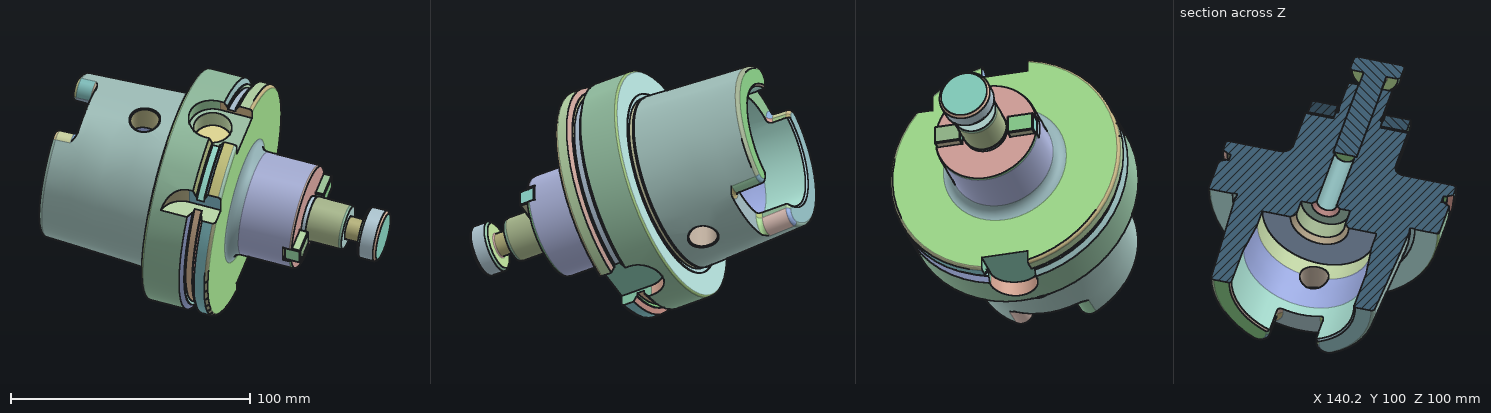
import cadquery as cq
import math


FLANGE_FACE_X = 50.0
FLANGE_WIDTH = 29.0
FLANGE_END_X = FLANGE_FACE_X + FLANGE_WIDTH
FLANGE_RADIUS = 50.0
FLANGE_FRONT_FILLET = 0.8
FLANGE_END_FILLET = 1.3
TAPER_END_RADIUS = 35.5
TAPER_SLOPE = 0.05
TAPER_RIM_FILLET = 1.5

UNDERCUT_WIDTH = 2.1
UNDERCUT_DEPTH = 0.3
UNDERCUT_RAMP = 0.8
UNDERCUT_FACE_RADIUS = 39.5

GROOVE_X = FLANGE_FACE_X + 20.0
GROOVE_MOUTH_WIDTH = 6.6
GROOVE_FLANK_DEPTH = 2.4
GROOVE_DEPTH = 3.9
GROOVE_FLANK_ANGLE = 30
GROOVE_FLOOR_WIDTH = 3.2

BORE_RADIUS = 53.0 / 2
BORE_MOUTH_CHAMFER = 0.8
BORE_CYLINDER_END_X = 19.6
BORE_CONE_END_X = 35
BORE_FLOOR_X = 43.5
BORE_FLOOR_RADIUS = 24.7
POCKET_DIAMETER = 21
POCKET_DEPTH = 9.8
POCKET_CHAMFER = 2.1
COOLANT_DIAMETER = 8.4
COOLANT_CHAMFER = 1.8

SLOT_WIDTH = 20.0
TOP_END_SLOT_DEPTH = 9.8
BOTTOM_END_SLOT_DEPTH = 14.6
END_SLOT_LIP_RADIUS = 4.9
END_SLOT_FLOOR_FILLET = 2.0

CROSS_HOLE_X = 35.2
CROSS_HOLE_DIAMETER = 12.0
CROSS_HOLE_CHAMFER = 0.49

DRIVE_SLOT_X = 65.0
DRIVE_SLOT_FLOOR_Z = 43.5
CHIP_HOLE_DIAMETER = 16.0
CHIP_HOLE_DEPTH = 8.4
NOTCH_WALL_Y = -31.4
NOTCH_FLOOR_Z = 31.0

BOSS_END_X = 107.0
BOSS_RADIUS = 22.3
BOSS_BASE_FILLET = 4.5
BOSS_LEAD_LENGTH = 1.0
PILOT_START_X = 108.9
PILOT_END_X = 124.7
PILOT_RADIUS = 19.0 / 2
PILOT_RELIEF_RADIUS = 18.5 / 2
PILOT_LEAD_LENGTH = 1.3
LEAD_DROP = 0.3

KEY_WIDTH = 8.0
KEY_BACK_X = 103.7
KEY_END_X = 110.7
KEY_INNER_Y = 10.2
KEY_OUTER_Y = 21.5
KEY_CHAMFER = 0.4
KEYWAY_BACK_X = 103.2
KEY_SIDES = (-1, 1)

SCREW_TIP_X = 84.1
SHANK_DIAMETER = 10.0
HEAD_DIAMETER = 22.0
HEAD_START_X = 131.9
HEAD_END_X = 140.2
HEAD_CHAMFER = 1.05
SHANK_FILLET = 0.5

TOLERANCE = 0.01


def taper_radius(x):
    return TAPER_END_RADIUS + TAPER_SLOPE * x


def revolve_about_x(profile):
    return profile.close().revolve(360, (0, 0, 0), (1, 0, 0))


def rod(diameter, start_x, end_x):
    """Cylinder on the X axis."""
    return cq.Workplane("YZ", origin=(start_x, 0, 0)).circle(diameter / 2).extrude(end_x - start_x)


def slab(x_range, y_range, z_range):
    """Box between the given pairs of limits."""
    sizes = [high - low for low, high in (x_range, y_range, z_range)]
    corner = (x_range[0], y_range[0], z_range[0])
    return cq.Workplane("XY").box(*sizes, centered=False).translate(corner)


def make_taper_cone():
    """Cone with a shallow undercut at the flange."""
    undercut_x = FLANGE_FACE_X - UNDERCUT_WIDTH
    neck_radius = taper_radius(undercut_x) - UNDERCUT_DEPTH
    neck_end_x = FLANGE_FACE_X + UNDERCUT_DEPTH
    profile = (
        cq.Workplane("XY")
        .lineTo(0, TAPER_END_RADIUS)
        .lineTo(undercut_x, taper_radius(undercut_x))
        .lineTo(undercut_x + UNDERCUT_RAMP, neck_radius)
        .lineTo(neck_end_x, neck_radius)
        .lineTo(neck_end_x, 0)
    )
    return revolve_about_x(profile)


def make_bore_cutter():
    """Stepped inside of the taper, with the coolant hole behind it."""
    pocket_radius = POCKET_DIAMETER / 2
    coolant_radius = COOLANT_DIAMETER / 2
    pocket_floor_x = BORE_FLOOR_X + POCKET_DEPTH
    profile = (
        cq.Workplane("XY")
        .lineTo(0, BORE_RADIUS + BORE_MOUTH_CHAMFER)
        .lineTo(BORE_MOUTH_CHAMFER, BORE_RADIUS)
        .lineTo(BORE_CYLINDER_END_X, BORE_RADIUS)
        .lineTo(BORE_CONE_END_X, BORE_FLOOR_RADIUS)
        .lineTo(BORE_FLOOR_X, BORE_FLOOR_RADIUS)
        .lineTo(BORE_FLOOR_X, pocket_radius + POCKET_CHAMFER)
        .lineTo(BORE_FLOOR_X + POCKET_CHAMFER, pocket_radius)
        .lineTo(pocket_floor_x, pocket_radius)
        .lineTo(pocket_floor_x, coolant_radius + COOLANT_CHAMFER)
        .lineTo(pocket_floor_x + COOLANT_CHAMFER, coolant_radius)
        .lineTo(SCREW_TIP_X, coolant_radius)
        .lineTo(SCREW_TIP_X, 0)
    )
    return revolve_about_x(profile)


def axis_distance(point):
    return math.hypot(point.y, point.z)


def is_on_slot_wall(edge):
    return abs(abs(edge.Center().y) - SLOT_WIDTH / 2) < TOLERANCE


def lies_at(edge, x):
    box = edge.BoundingBox()
    return abs(box.xmin - x) < TOLERANCE and abs(box.xmax - x) < TOLERANCE


def cut_end_slots(taper):
    """Two slots of unequal depth, with rounded lips, floors and rims."""
    half = SLOT_WIDTH / 2
    depths = (TOP_END_SLOT_DEPTH, BOTTOM_END_SLOT_DEPTH)
    taper = taper.cut(slab((0, TOP_END_SLOT_DEPTH), (-half, half), (0, FLANGE_RADIUS)))
    taper = taper.cut(slab((0, BOTTOM_END_SLOT_DEPTH), (-half, half), (-FLANGE_RADIUS, 0)))

    lips = [
        edge
        for edge in taper.edges().vals()
        if is_on_slot_wall(edge) and abs(edge.Center().z) > BORE_RADIUS and not edge.BoundingBox().xlen < 1.4
    ]
    taper = taper.newObject(lips).fillet(END_SLOT_LIP_RADIUS)

    floor_sides = [
        edge
        for edge in taper.edges().vals()
        if any(lies_at(edge, depth) for depth in depths)
        and half - TOLERANCE < abs(edge.Center().y) < half + END_SLOT_LIP_RADIUS
        and axis_distance(edge.Center()) < TAPER_END_RADIUS - 1.4
    ]
    taper = taper.newObject(floor_sides).fillet(END_SLOT_FLOOR_FILLET)

    rim = [
        edge
        for edge in taper.edges("<X").vals()
        if edge.geomType() != "CIRCLE" or edge.radius() > BORE_RADIUS + TOLERANCE
    ]
    return taper.newObject(rim).fillet(TAPER_RIM_FILLET)


def cut_cross_hole(taper):
    """Hole through both walls, with its outer edges eased."""
    hole = cq.Workplane("XY").circle(CROSS_HOLE_DIAMETER / 2).extrude(FLANGE_RADIUS, both=True)
    taper = taper.cut(hole.translate((CROSS_HOLE_X, 0, 0)))
    mouths = [
        edge
        for edge in taper.edges().vals()
        if abs(edge.Center().x - CROSS_HOLE_X) < CROSS_HOLE_DIAMETER / 4
        and abs(edge.Center().z) > BORE_RADIUS + 5.6
    ]
    return taper.newObject(mouths).chamfer(CROSS_HOLE_CHAMFER)


def make_flange_disc():
    """Plain disc with rounded rims and the face recess of the taper's undercut."""
    disc = rod(2 * FLANGE_RADIUS, FLANGE_FACE_X, FLANGE_END_X)
    disc = disc.edges("<X").fillet(FLANGE_FRONT_FILLET)
    disc = disc.edges(">X").fillet(FLANGE_END_FILLET)
    return disc.cut(rod(2 * UNDERCUT_FACE_RADIUS, FLANGE_FACE_X, FLANGE_FACE_X + UNDERCUT_DEPTH))


def cut_corner_notch(disc):
    """L-shaped notch at the -Y, +Z corner, closed at one end by the cutter's round."""
    radius = SLOT_WIDTH / 2
    height = FLANGE_RADIUS - NOTCH_FLOOR_Z
    centre_y = NOTCH_WALL_Y - radius
    cutter = slab(
        (DRIVE_SLOT_X, FLANGE_END_X), (centre_y - radius, NOTCH_WALL_Y), (NOTCH_FLOOR_Z, FLANGE_RADIUS)
    )
    end = cq.Workplane("XY", origin=(DRIVE_SLOT_X, centre_y, NOTCH_FLOOR_Z)).circle(radius).extrude(height)
    return disc.cut(cutter.union(end))


def cut_drive_slots(disc):
    """Round-ended slots on opposite sides, the upper one with a chip hole in its floor."""
    radius = SLOT_WIDTH / 2
    slot = slab(
        (DRIVE_SLOT_X, FLANGE_END_X), (-radius, radius), (DRIVE_SLOT_FLOOR_Z, FLANGE_RADIUS)
    )
    floor = cq.Workplane("XY", origin=(DRIVE_SLOT_X, 0, DRIVE_SLOT_FLOOR_Z))
    slot = slot.union(floor.circle(radius).extrude(FLANGE_RADIUS - DRIVE_SLOT_FLOOR_Z))
    chip_hole = floor.circle(CHIP_HOLE_DIAMETER / 2).extrude(-CHIP_HOLE_DEPTH)
    return disc.cut(slot).cut(slot.rotate((0, 0, 0), (1, 0, 0), 180)).cut(chip_hole)


def make_groove_cutter():
    """Ring with the V-shaped section of the groove."""
    half_mouth = GROOVE_MOUTH_WIDTH / 2
    half_root = half_mouth - GROOVE_FLANK_DEPTH * math.tan(math.radians(GROOVE_FLANK_ANGLE))
    half_floor = GROOVE_FLOOR_WIDTH / 2
    root_radius = FLANGE_RADIUS - GROOVE_FLANK_DEPTH
    floor_radius = FLANGE_RADIUS - GROOVE_DEPTH
    profile = (
        cq.Workplane("XY")
        .moveTo(GROOVE_X - half_mouth, FLANGE_RADIUS)
        .lineTo(GROOVE_X - half_root, root_radius)
        .lineTo(GROOVE_X - half_floor, root_radius)
        .lineTo(GROOVE_X - half_floor, floor_radius)
        .lineTo(GROOVE_X + half_floor, floor_radius)
        .lineTo(GROOVE_X + half_floor, root_radius)
        .lineTo(GROOVE_X + half_root, root_radius)
        .lineTo(GROOVE_X + half_mouth, FLANGE_RADIUS)
    )
    return revolve_about_x(profile)


def make_boss_and_pilot():
    """Boss with a round at its base, and the pilot in front of it."""
    fillet_end_x = FLANGE_END_X + BOSS_BASE_FILLET
    fillet_middle = (
        fillet_end_x - BOSS_BASE_FILLET * math.sqrt(0.5),
        BOSS_RADIUS + BOSS_BASE_FILLET * (1 - math.sqrt(0.5)),
    )
    profile = (
        cq.Workplane("XY")
        .moveTo(FLANGE_END_X, 0)
        .lineTo(FLANGE_END_X, BOSS_RADIUS + BOSS_BASE_FILLET)
        .threePointArc(fillet_middle, (fillet_end_x, BOSS_RADIUS))
        .lineTo(BOSS_END_X - BOSS_LEAD_LENGTH, BOSS_RADIUS)
        .lineTo(BOSS_END_X, BOSS_RADIUS - LEAD_DROP)
        .lineTo(BOSS_END_X, PILOT_RELIEF_RADIUS)
        .lineTo(PILOT_START_X, PILOT_RELIEF_RADIUS)
        .lineTo(PILOT_START_X, PILOT_RADIUS)
        .lineTo(PILOT_END_X - PILOT_LEAD_LENGTH, PILOT_RADIUS)
        .lineTo(PILOT_END_X, PILOT_RADIUS - LEAD_DROP)
        .lineTo(PILOT_END_X, 0)
    )
    return revolve_about_x(profile)


def make_keyway_cutter(side):
    """Open slot across the boss end for the key on the given side of the axis."""
    half = KEY_WIDTH / 2
    y_limits = sorted((side * KEY_INNER_Y, side * (BOSS_RADIUS + 1.4)))
    return slab((KEYWAY_BACK_X, BOSS_END_X), y_limits, (-half, half))


def make_housing():
    taper = make_taper_cone().cut(rod(2 * BORE_RADIUS, 0, BORE_CYLINDER_END_X))
    taper = cut_cross_hole(cut_end_slots(taper))
    flange = cut_drive_slots(cut_corner_notch(make_flange_disc())).cut(make_groove_cutter())
    housing = taper.union(flange).union(make_boss_and_pilot())
    housing = housing.cut(make_bore_cutter())
    housing = housing.cut(rod(SHANK_DIAMETER, SCREW_TIP_X, PILOT_END_X))
    for side in KEY_SIDES:
        housing = housing.cut(make_keyway_cutter(side))
    return housing


def make_key(side):
    """Chamfered block standing out of the boss end."""
    half = KEY_WIDTH / 2
    y_limits = sorted((side * KEY_INNER_Y, side * KEY_OUTER_Y))
    return slab((KEY_BACK_X, KEY_END_X), y_limits, (-half, half)).edges().chamfer(KEY_CHAMFER)


def make_clamping_screw():
    """Screw whose shank fills the pilot's hole, with a disc-shaped head."""
    head = rod(HEAD_DIAMETER, HEAD_START_X, HEAD_END_X).edges().chamfer(HEAD_CHAMFER)
    screw = rod(SHANK_DIAMETER, SCREW_TIP_X, HEAD_START_X).union(head)
    corner = [
        edge
        for edge in screw.edges("%CIRCLE").vals()
        if lies_at(edge, HEAD_START_X) and edge.radius() < HEAD_DIAMETER / 4
    ]
    return screw.newObject(corner).fillet(SHANK_FILLET)


housing = make_housing()
keys = [make_key(side) for side in KEY_SIDES]
screw = make_clamping_screw()

result = cq.Compound.makeCompound([housing.val(), *[key.val() for key in keys], screw.val()])